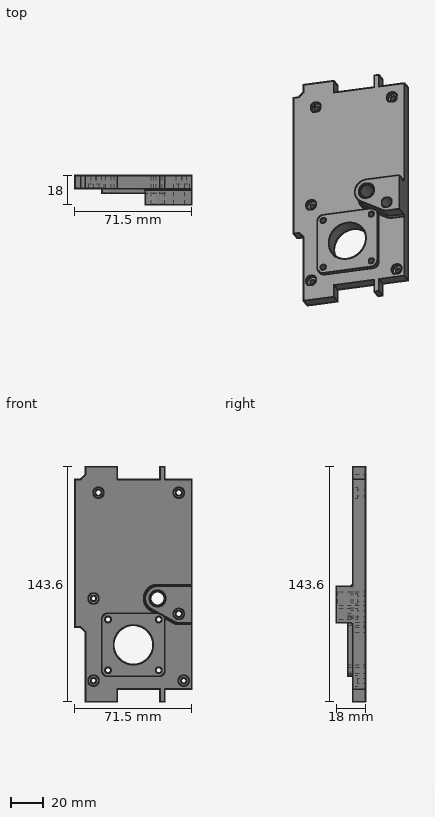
import math

import cadquery as cq


plate_width = 71.5
plate_height = 143.63
plate_thickness = 8.0
edge_step = 7.8
corner_notch_width = 6.5
notch_chamfer = 3.0
left_edge_bottom = 45.6
left_edge_top = plate_height - edge_step
wide_tab_right = 26.0
thin_tab_left = 52.0
thin_tab_right = 55.0

motor_x = plate_width / 2
motor_z = 34.75
motor_bore_diameter = 24.0
motor_hole_pitch = 31.0
motor_hole_diameter = 3.5
pad_corner_radius = 3.8
pad_size = motor_hole_pitch + 2 * pad_corner_radius
pad_thickness = 3.0

boss_height = 10.0
boss_skirt = 1.0
rod_x = 50.5
rod_z = 63.1
rod_boss_radius = 7.5
rod_bore_diameter = 8.4
rod_bore_chamfer = 0.8
boss_screw_x = 63.5
boss_screw_z = 53.7
boss_screw_radius = 5.5

counterbore_diameter = 6.6
counterbore_depth = 3.0
small_screw_diameter = 3.2
large_screw_diameter = 3.7
left_screw_x = 11.4
low_right_screw_x = 66.5
top_left_screw_x = 14.4
low_screw_z = 12.9
top_screw_z = 127.7
small_screws = [(left_screw_x, low_screw_z), (low_right_screw_x, low_screw_z), (left_screw_x, rod_z)]
large_screws = [(top_left_screw_x, top_screw_z), (boss_screw_x, top_screw_z)]


def front_plane(y):
    """Sketch plane parallel to XZ at depth y; positive extrusion goes toward -Y."""
    return cq.Workplane("XZ", origin=(0, y, 0))


def make_plate():
    notch_inner = corner_notch_width
    notch_outer = corner_notch_width - notch_chamfer
    shoulder_top = plate_height - edge_step
    outline = [
        (notch_inner, 0),
        (wide_tab_right, 0),
        (wide_tab_right, edge_step),
        (thin_tab_left, edge_step),
        (thin_tab_left, 0),
        (thin_tab_right, 0),
        (thin_tab_right, edge_step),
        (plate_width, edge_step),
        (plate_width, shoulder_top),
        (thin_tab_right, shoulder_top),
        (thin_tab_right, plate_height),
        (thin_tab_left, plate_height),
        (thin_tab_left, shoulder_top),
        (wide_tab_right, shoulder_top),
        (wide_tab_right, plate_height),
        (notch_inner, plate_height),
        (notch_inner, left_edge_top + notch_chamfer),
        (notch_outer, left_edge_top),
        (0, left_edge_top),
        (0, left_edge_bottom),
        (notch_outer, left_edge_bottom),
        (notch_inner, left_edge_bottom - notch_chamfer),
    ]
    return front_plane(plate_thickness).polyline(outline).close().extrude(plate_thickness)


def make_motor_pad():
    pad = front_plane(0).center(motor_x, motor_z).rect(pad_size, pad_size).extrude(pad_thickness)
    return pad.edges("|Y").fillet(pad_corner_radius)


def make_boss():
    """Block wrapped around the rod bore and the screw, running out to the right edge."""
    span = math.hypot(boss_screw_x - rod_x, boss_screw_z - rod_z)
    centre_angle = math.atan2(boss_screw_z - rod_z, boss_screw_x - rod_x)
    tangent_tilt = math.acos((rod_boss_radius - boss_screw_radius) / span)
    normal_angle = centre_angle - tangent_tilt

    def rod_point(angle):
        return (rod_x + rod_boss_radius * math.cos(angle), rod_z + rod_boss_radius * math.sin(angle))

    def screw_point(angle):
        return (
            boss_screw_x + boss_screw_radius * math.cos(angle),
            boss_screw_z + boss_screw_radius * math.sin(angle),
        )

    down = -math.pi / 2
    outline = (
        front_plane(0)
        .moveTo(plate_width, rod_z + rod_boss_radius)
        .lineTo(rod_x, rod_z + rod_boss_radius)
        .threePointArc(rod_point(math.pi), rod_point(normal_angle))
        .lineTo(*screw_point(normal_angle))
        .threePointArc(screw_point((normal_angle + down) / 2), screw_point(down))
        .lineTo(plate_width, boss_screw_z - boss_screw_radius)
        .close()
    )
    return outline.extrude(boss_height)


def chamfer_boss_base(body):
    """Sloping skirt where the boss rises from the plate; the right edge stays flush."""
    margin = 0.1
    skirt_edges = cq.selectors.BoxSelector(
        (rod_x - 2 * rod_boss_radius, -margin, boss_screw_z - 2 * boss_screw_radius),
        (plate_width - margin, margin, rod_z + 2 * rod_boss_radius),
    )
    return body.edges(skirt_edges).chamfer(boss_skirt)


def cut_holes(body, points, diameter, start_y):
    depth = plate_thickness - start_y
    holes = front_plane(plate_thickness).pushPoints(points).circle(diameter / 2).extrude(depth)
    return body.cut(holes)


def cut_counterbored(body, points, diameter, head_depth, face_y):
    """Screw clearance holes with a counterbore sunk head_depth from the face at face_y."""
    body = cut_holes(body, points, diameter, face_y)
    floor = front_plane(face_y + head_depth)
    heads = floor.pushPoints(points).circle(counterbore_diameter / 2).extrude(head_depth)
    return body.cut(heads)


def cut_motor_holes(body):
    half_pitch = motor_hole_pitch / 2
    corners = [
        (motor_x + side * half_pitch, motor_z + level * half_pitch)
        for side in (-1, 1)
        for level in (-1, 1)
    ]
    body = cut_holes(body, [(motor_x, motor_z)], motor_bore_diameter, -pad_thickness)
    return cut_holes(body, corners, motor_hole_diameter, -pad_thickness)


def cut_rod_bore(body):
    """Through bore with a chamfered mouth on the boss face."""
    bore_radius = rod_bore_diameter / 2
    body = cut_holes(body, [(rod_x, rod_z)], rod_bore_diameter, -boss_height)
    mouth = cq.Solid.makeCone(
        bore_radius + rod_bore_chamfer,
        bore_radius,
        rod_bore_chamfer,
        pnt=cq.Vector(rod_x, -boss_height, rod_z),
        dir=cq.Vector(0, 1, 0),
    )
    return body.cut(cq.Workplane(mouth))


def cut_screw_holes(body):
    boss_screw = [(boss_screw_x, boss_screw_z)]
    body = cut_counterbored(body, small_screws, small_screw_diameter, counterbore_depth, 0)
    body = cut_counterbored(body, large_screws, large_screw_diameter, counterbore_depth, 0)
    boss_head_depth = boss_height + counterbore_depth
    return cut_counterbored(body, boss_screw, large_screw_diameter, boss_head_depth, -boss_height)


def make_part():
    body = make_plate().union(make_boss())
    body = chamfer_boss_base(body)
    body = body.union(make_motor_pad())
    body = cut_motor_holes(body)
    body = cut_rod_bore(body)
    return cut_screw_holes(body)


result = make_part()